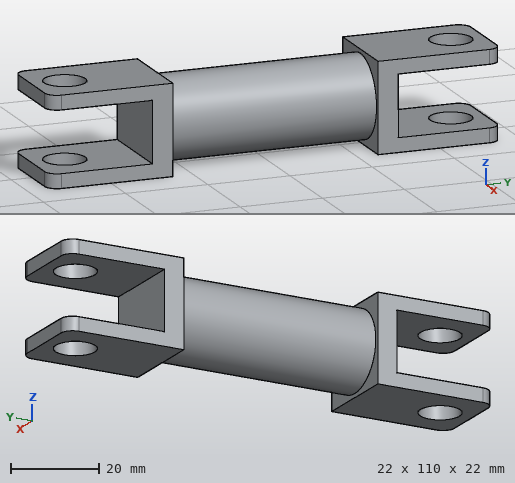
import cadquery as cq

total_length = 110.0
fork_width = 22.0

fork_length = 30.0
bridge_thickness = 5.0
slot_height = 15.0
corner_radius = 3.0

pin_diameter = 10.0
pin_end_distance = 8.0

shaft_diameter = 20.0
shaft_length = total_length - 2 * fork_length


def make_fork(side):
    """Fork with its tip at the +Y end (side = 1) or the -Y end (side = -1)."""
    tip = side * total_length / 2
    slot_depth = fork_length - bridge_thickness

    body = (
        cq.Workplane("XY")
        .center(0, tip - side * fork_length / 2)
        .box(fork_width, fork_length, fork_width)
    )
    tip_face = ">Y" if side > 0 else "<Y"
    body = body.faces(tip_face).edges("|Z").fillet(corner_radius)

    slot = (
        cq.Workplane("XY")
        .center(0, tip - side * slot_depth / 2)
        .box(fork_width, slot_depth, slot_height)
    )
    pin_hole = (
        cq.Workplane("XY")
        .center(0, tip - side * pin_end_distance)
        .circle(pin_diameter / 2)
        .extrude(fork_width / 2, both=True)
    )
    return body.cut(slot).cut(pin_hole)


shaft = cq.Workplane("XZ").circle(shaft_diameter / 2).extrude(shaft_length / 2, both=True)

result = shaft
for side in (-1, 1):
    result = result.union(make_fork(side))